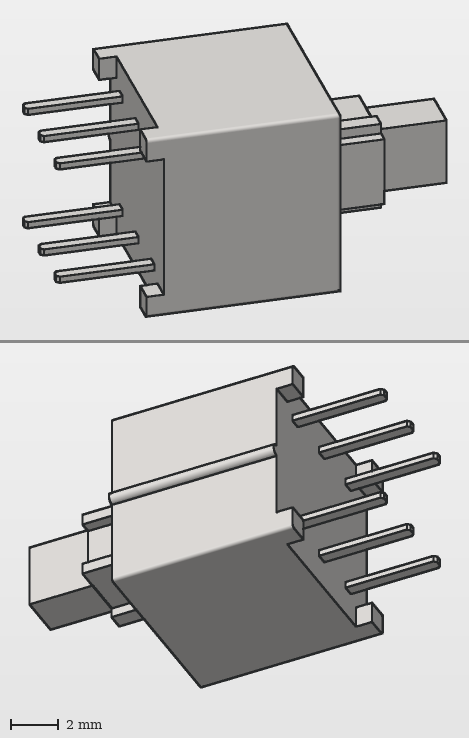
import cadquery as cq

body_size = 8.5
edge_radius = 0.15
foot_size = 1.02
foot_height = 0.75
body_end = body_size / 2
foot_end = -body_size / 2
floor_y = foot_end + foot_height

rib_radius = 0.28

collar_size = 4.0
collar_length = 2.5
collar_core_height = 3.1
collar_rail_start = 0.74
collar_rail_width = 0.74
slot_depth = 0.52
slot_height = 2.06
plunger_width = 2.0
plunger_height = 3.0
plunger_length = 3.0

pin_width = 0.5
pin_thickness = 0.3
pin_pitch = 2.5
pin_row_spacing = 5.42
pin_reach = 3.5
pin_tip_chamfer = 0.12
pin_columns = 3
pin_length = pin_reach + foot_height


def block(width, length, height, x, y_start, z=0):
    """Box centred at x and z that extends from y_start towards +Y."""
    return cq.Workplane("XY").box(width, length, height).translate((x, y_start + length / 2, z))


def make_body():
    body = block(body_size, body_size, body_size, 0, foot_end)
    rounded_edges = body.edges("|Y").add(body.faces(">Y").edges(">Z or >X"))
    body = body.newObject(rounded_edges.vals()).fillet(edge_radius)
    channel_width = body_size - 2 * foot_size
    body = body.cut(block(channel_width, foot_height, body_size, 0, foot_end))
    return body.cut(block(body_size, foot_height, channel_width, 0, foot_end))


def make_rib():
    rib_length = body_end - floor_y
    rib = cq.Workplane("XZ", origin=(-body_size / 2, floor_y, 0)).circle(rib_radius)
    return rib.extrude(-rib_length)


def make_collar():
    collar = block(collar_size, collar_length, collar_core_height, 0, body_end)
    rail_x = collar_rail_start + collar_rail_width / 2
    collar = collar.union(block(collar_rail_width, collar_length, collar_size, rail_x, body_end))
    slot_x = (slot_depth - collar_size) / 2
    return collar.cut(block(slot_depth, collar_length, slot_height, slot_x, body_end))


def make_plunger():
    return block(plunger_width, plunger_length, plunger_height, 0, body_end + collar_length)


def make_pin(x, z):
    pin = block(pin_width, pin_length, pin_thickness, x, floor_y - pin_length, z)
    return pin.faces("<Y").edges("|Z").chamfer(pin_tip_chamfer)


result = make_body().union(make_rib()).union(make_collar()).union(make_plunger())
for column in range(pin_columns):
    pin_x = (column - (pin_columns - 1) / 2) * pin_pitch
    for row_side in (-1, 1):
        result = result.union(make_pin(pin_x, row_side * pin_row_spacing / 2))